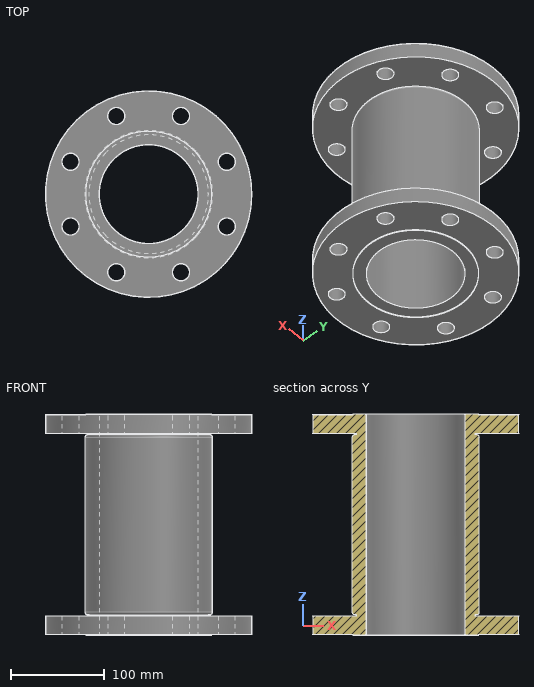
import cadquery as cq

length = 236.0
bore_diameter = 105.0

flange_diameter = 220.0
flange_thickness = 20.0
raised_face_diameter = 134.0
raised_face_height = 1.0

bolt_count = 8
bolt_circle_diameter = 180.0
bolt_hole_diameter = 18.0

body_diameter = 136.0
body_edge_radius = 3.0
neck_diameter = 127.0
neck_height = 1.0

flange_inner_z = length / 2 - raised_face_height - flange_thickness
body_length = 2 * (flange_inner_z - neck_height)


def cylinder(diameter, height, base_z):
    """Solid cylinder on the Z axis, rising from base_z."""
    return cq.Workplane("XY").workplane(offset=base_z).circle(diameter / 2).extrude(height)


def make_flange():
    """Upper flange with its raised sealing face and a bolt hole each side of the X and Y axes."""
    raised_face_base_z = flange_inner_z + flange_thickness
    plate = cylinder(flange_diameter, flange_thickness, flange_inner_z)
    raised_face = cylinder(raised_face_diameter, raised_face_height, raised_face_base_z)
    half_pitch_angle = 180 / bolt_count
    bolt_holes = (
        cq.Workplane("XY")
        .workplane(offset=flange_inner_z)
        .polarArray(bolt_circle_diameter / 2, half_pitch_angle, 360, bolt_count)
        .circle(bolt_hole_diameter / 2)
        .extrude(flange_thickness)
    )
    return plate.union(raised_face).cut(bolt_holes)


def make_body():
    """Tube body with rounded ends and a short, narrower neck reaching each flange."""
    barrel = (
        cylinder(body_diameter, body_length, -body_length / 2)
        .faces(">Z or <Z")
        .edges()
        .fillet(body_edge_radius)
    )
    neck = cylinder(neck_diameter, 2 * flange_inner_z, -flange_inner_z)
    return barrel.union(neck)


upper_flange = make_flange()
lower_flange = upper_flange.mirror("XY")
bore = cylinder(bore_diameter, length, -length / 2)

result = make_body().union(upper_flange).union(lower_flange).cut(bore)